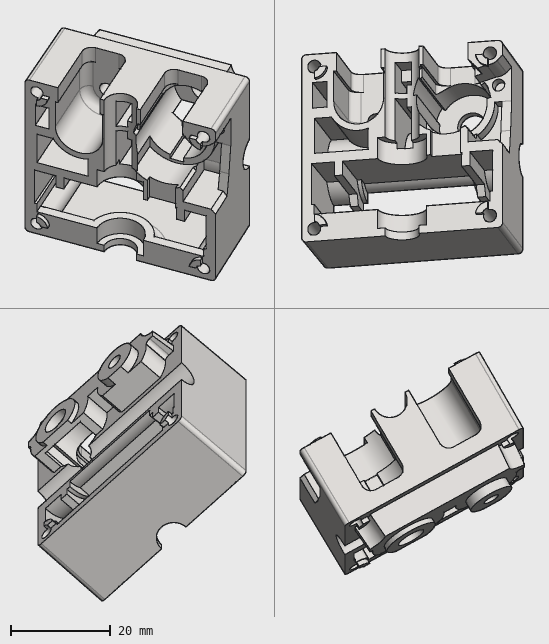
import cadquery as cq
import math

WIDTH = 41.55
HEIGHT = 39.55
DEPTH = 18.05
DRAFT = 0.5
CORNER_RADIUS = 1.0
OVERCUT = 0.4

SCREW_X = 18.15
SCREW_Z = 17.15
SCREW_RADIUS = 1.35
TAB_RADIUS = 2.8
TAB_HEIGHT = 1.0
TAB_GAP_X = 0.3
TAB_GAP_Z = 0.4

PORT_X = 8.98
PORT_Z = 9.48
THROAT_HALF_WIDTH = 4.6
THROAT_BOTTOM_Z = 15.88
CHAMBER_RADIUS = 5.15
CHAMBER_DEPTH = 14.65
CHAMBER_FILLET = 2.08
PORT_1_HOLE_RADIUS = 1.65

BORE_RADIUS = 6.65
LOBE_RADIUS = 7.5
LOBE_START = 8.0
LOBE_END = 35.0
KEY_HALF_WIDTH = 1.45
BORE_DEPTH = 22.45
PORT_2_HOLE_RADIUS = 2.9

RECESS_RADIUS = 8.23
RECESS_DEPTH = 8.02
RECESS_LEFT_X = 3.08
RECESS_CEILING_START = (14.05, 13.8)
CORNER_ARC_START = (17.45, 14.7)
CORNER_ARC_MIDDLE = (18.7, 14.95)
CORNER_ARC_END = (19.6, 15.5)
STEP_HALF_WIDTH = 3.08
STEP_DEPTH = 1.25
RELIEF_BEVEL = 0.5
CORNER_BEVEL_TOP_Z = 16.3
CORNER_BEVEL_END = (15.6, 14.25)
CORNER_RELIEF_DEPTH = 3.75
DOWEL_X = 18.0
DOWEL_Z = 13.0
DOWEL_RADIUS = 1.25
DOWEL_DEPTH = 2.5
RIB_RIGHT_X = 13.67
RIB_TOP_Z = 2.3
RIB_BEVEL = 0.65
NOTCH_BOTTOM_DEPTH = 6.03
NOTCH_BEND_DEPTH = 7.05
NOTCH_BEND_Z = 2.9
NOTCH_BEVEL = 1.0

PLATE_TOP_Z = 17.25
PLATE_HALF_WIDTH = 18.3
PLATE_DRAFT = 4.5
PLATE_BOTTOM_Z = 11.4
PLATE_BACK = 23.45
PLATE_SCOOP_RADIUS = 3.55
PLATE_FOOT_RADIUS = 1.0
TOWER_1_RADIUS = 7.02
TOWER_BOTTOM_Z = 5.1
PORT_1_RIM_RADIUS = 4.75
PORT_1_RIM_BACK = 25.5
PORT_2_RIM_RADIUS = 5.6
PORT_2_RIM_BACK = 24.5

BLOCK_BOTTOM_Z = -3.32
LIP_TOP_Z = -14.05
LIP_THICKNESS = 2.0
FLOOR_Z = -17.45
CAVITY_HALF_WIDTH = 18.15
WIDE_HALF_WIDTH = 18.7
WIDE_BACK_HALF_WIDTH = 18.45
WIDE_BOTTOM_Z = -11.95
COLUMN_RADIUS = 3.08
GROOVE_RADIUS = 3.5
TUBE_RADIUS = 4.4
TUBE_END_RADIUS = 6.52
TUBE_END_X = 11.43
STRUT_INNER_X = 12.3
STRUT_OUTER_X = 14.0
STRUT_FRONT_Z = -6.25
STRUT_BOTTOM_Z = -8.48
STRUT_STEP_START = 12.45
STRUT_STEP_END = 13.6

SHAFT_RADIUS = 3.5
BEARING_RADIUS = 5.03
UPPER_BEARING_TOP_Z = 1.12
LOWER_BEARING_BOTTOM_Z = -18.08
LOWER_BOSS_RADIUS = 6.85
BOSS_FILLET = 2.5

POCKET_LEFT_X = -18.1
POCKET_RIGHT_X = -7.02
POCKET_TOP_Z = 6.2
POCKET_BOTTOM_Z = -1.2
PORT_1_WALL_RADIUS = 6.52
POCKET_DEPTH = 17.05
SIDE_POCKET_FLOOR = 11.05
POCKET_CORE_RADIUS = 7.15
SIDE_POCKET_RIGHT_X = 18.7
SLOT_LEFT_X = -2.1
SLOT_RIGHT_X = 1.12
SLOT_NECK_X = 0.12
UPPER_SLOT_TOP_Z = 17.7
UPPER_SLOT_NECK_Z = 12.9
UPPER_SLOT_BOTTOM_Z = 11.22
UPPER_SLOT_LEDGE_Z = 15.25
UPPER_SLOT_LEDGE = 8.3
UPPER_SLOT_DEPTH = 12.45
LOWER_SLOT_TOP_Z = 10.05
LOWER_SLOT_NECK_Z = 8.23
LOWER_SLOT_BOTTOM_Z = 0.05
SMALL_POCKET_LEFT_X = -18.5
SMALL_POCKET_RIGHT_X = -15.55
SMALL_POCKET_TOP_Z = 13.8
SMALL_POCKET_BOTTOM_Z = 8.4


def block(x0, x1, y0, y1, z0, z1):
    """Box between opposite corners."""
    return cq.Workplane("XY").box(x1 - x0, y1 - y0, z1 - z0, centered=False).translate((x0, y0, z0))


def rod_y(x, z, radius, y0, y1):
    """Cylinder along Y."""
    return cq.Workplane("XZ", origin=(0, y0, 0)).center(x, z).circle(radius).extrude(y0 - y1)


def rod_x(radius, x0, x1):
    """Cylinder along X, centred on the rear cross groove."""
    return cq.Workplane("YZ", origin=(x0, 0, 0)).center(DEPTH, 0).circle(radius).extrude(x1 - x0)


def rod_z(radius, z0, z1):
    """Cylinder along Z, centred on the shaft channel."""
    return cq.Workplane("XY", origin=(0, 0, z0)).circle(radius).extrude(z1 - z0)


def outline_y(points, y0, y1):
    """Prism along Y over an (x, z) polygon."""
    return cq.Workplane("XZ", origin=(0, y0, 0)).polyline(points).close().extrude(y0 - y1)


def make_body():
    """Drafted block with rounded corner edges."""
    outline = cq.Workplane("XZ").rect(WIDTH, HEIGHT).extrude(-DEPTH, taper=DRAFT)
    return outline.edges("not(|X or |Z)").fillet(CORNER_RADIUS)


def drafted_plate():
    """Rear plate with drafted sides and concave corners around the upper screws."""
    scoop_x = PLATE_HALF_WIDTH - PLATE_SCOOP_RADIUS
    scoop_z = PLATE_TOP_Z - PLATE_SCOOP_RADIUS
    plate = (
        cq.Workplane("XZ", origin=(0, DEPTH, 0))
        .moveTo(-PLATE_HALF_WIDTH, 0)
        .lineTo(-PLATE_HALF_WIDTH, scoop_z)
        .radiusArc((-scoop_x, PLATE_TOP_Z), -PLATE_SCOOP_RADIUS)
        .lineTo(scoop_x, PLATE_TOP_Z)
        .radiusArc((PLATE_HALF_WIDTH, scoop_z), -PLATE_SCOOP_RADIUS)
        .lineTo(PLATE_HALF_WIDTH, 0)
        .close()
        .extrude(DEPTH - PLATE_BACK, taper=PLATE_DRAFT)
    )
    left_foot = -PORT_X - TOWER_1_RADIUS
    right_foot = PORT_X + RECESS_RADIUS
    foot_z = PLATE_BOTTOM_Z - PLATE_FOOT_RADIUS
    kept = (
        cq.Workplane("XZ", origin=(0, DEPTH, 0))
        .moveTo(-WIDTH / 2, HEIGHT / 2)
        .lineTo(-WIDTH / 2, PLATE_BOTTOM_Z)
        .lineTo(left_foot - PLATE_FOOT_RADIUS, PLATE_BOTTOM_Z)
        .radiusArc((left_foot, foot_z), PLATE_FOOT_RADIUS)
        .lineTo(right_foot, foot_z)
        .radiusArc((right_foot + PLATE_FOOT_RADIUS, PLATE_BOTTOM_Z), PLATE_FOOT_RADIUS)
        .lineTo(WIDTH / 2, PLATE_BOTTOM_Z)
        .lineTo(WIDTH / 2, HEIGHT / 2)
        .close()
        .extrude(DEPTH - PLATE_BACK)
    )
    return plate.intersect(kept)


def make_rear_plate():
    """Plate, towers trimmed flat below, and the raised port rims."""
    towers = rod_y(-PORT_X, PORT_Z, TOWER_1_RADIUS, DEPTH, PLATE_BACK)
    towers = towers.union(rod_y(PORT_X, PORT_Z, RECESS_RADIUS, DEPTH, PLATE_BACK))
    below_plate = block(-WIDTH / 2, WIDTH / 2, DEPTH, PLATE_BACK, TOWER_BOTTOM_Z, PLATE_BOTTOM_Z)
    plate = drafted_plate().union(towers.intersect(below_plate))
    plate = plate.union(rod_y(-PORT_X, PORT_Z, PORT_1_RIM_RADIUS, DEPTH, PORT_1_RIM_BACK))
    plate = plate.union(rod_y(PORT_X, PORT_Z, PORT_2_RIM_RADIUS, DEPTH, PORT_2_RIM_BACK))
    trim = block(-WIDTH / 2, WIDTH / 2, DEPTH, PORT_1_RIM_BACK, TOWER_BOTTOM_Z, PLATE_TOP_Z)
    return plate.intersect(trim)


def cut_lower_cavity(body):
    """Open the body below the port block, leaving the lip, bearing boss and screw columns."""
    back = DEPTH + OVERCUT
    cavity = block(-CAVITY_HALF_WIDTH, CAVITY_HALF_WIDTH, LIP_THICKNESS, back, FLOOR_Z, BLOCK_BOTTOM_Z)
    for side in (-1, 1):
        cavity = cavity.cut(rod_y(side * SCREW_X, -SCREW_Z, COLUMN_RADIUS, 0, back))
    boss = rod_z(LOWER_BOSS_RADIUS, FLOOR_Z, LIP_TOP_Z)
    foot = (
        cq.Workplane("XZ")
        .moveTo(0, FLOOR_Z)
        .lineTo(LOWER_BOSS_RADIUS + BOSS_FILLET, FLOOR_Z)
        .radiusArc((LOWER_BOSS_RADIUS, FLOOR_Z + BOSS_FILLET), BOSS_FILLET)
        .lineTo(0, FLOOR_Z + BOSS_FILLET)
        .close()
        .revolve(360, (0, 0, 0), (0, 1, 0))
    )
    cavity = cavity.cut(boss).cut(foot)
    window = block(-CAVITY_HALF_WIDTH, CAVITY_HALF_WIDTH, -OVERCUT, back, LIP_TOP_Z, BLOCK_BOTTOM_Z)
    wide = (
        cq.Workplane("XY", origin=(0, 0, WIDE_BOTTOM_Z))
        .polyline([
            (-WIDE_HALF_WIDTH, 0),
            (WIDE_HALF_WIDTH, 0),
            (WIDE_BACK_HALF_WIDTH, DEPTH),
            (-WIDE_BACK_HALF_WIDTH, DEPTH),
        ])
        .close()
        .extrude(BLOCK_BOTTOM_Z - WIDE_BOTTOM_Z)
    )
    return body.cut(cavity).cut(window).cut(wide)


def cross_tube():
    """Tube around the rear cross groove, thicker at both ends."""
    tube = rod_x(TUBE_RADIUS, -WIDE_HALF_WIDTH, WIDE_HALF_WIDTH)
    tube = tube.union(rod_x(TUBE_END_RADIUS, -WIDE_HALF_WIDTH, -TUBE_END_X))
    tube = tube.union(rod_x(TUBE_END_RADIUS, TUBE_END_X, WIDE_HALF_WIDTH))
    return tube.intersect(block(-WIDTH, WIDTH, 0, DEPTH, -HEIGHT / 2, HEIGHT / 2))


def strut(side):
    """Rib hanging from the block, deeper towards the back beyond a sloped step."""
    profile = [
        (0, BLOCK_BOTTOM_Z),
        (0, STRUT_FRONT_Z),
        (STRUT_STEP_START, STRUT_FRONT_Z),
        (STRUT_STEP_END, STRUT_BOTTOM_Z),
        (DEPTH, STRUT_BOTTOM_Z),
        (DEPTH, BLOCK_BOTTOM_Z),
    ]
    width = STRUT_OUTER_X - STRUT_INNER_X
    start = STRUT_INNER_X if side > 0 else -STRUT_OUTER_X
    return cq.Workplane("YZ", origin=(start, 0, 0)).polyline(profile).close().extrude(width)


def cut_shaft_channel(body):
    """Half-round channel with wider bearing seats above and below the cavity."""
    top = HEIGHT / 2 + OVERCUT
    body = body.cut(rod_z(SHAFT_RADIUS, -top, top))
    return body.cut(rod_z(BEARING_RADIUS, LOWER_BEARING_BOTTOM_Z, UPPER_BEARING_TOP_Z))


def port_chamber(x):
    """Round-bottomed chamber with a rounded back edge and a narrower throat through the top."""
    chamber = (
        cq.Workplane("XZ", origin=(x, -OVERCUT, 0))
        .moveTo(-CHAMBER_RADIUS, THROAT_BOTTOM_Z)
        .lineTo(-CHAMBER_RADIUS, PORT_Z)
        .threePointArc((0, PORT_Z - CHAMBER_RADIUS), (CHAMBER_RADIUS, PORT_Z))
        .lineTo(CHAMBER_RADIUS, THROAT_BOTTOM_Z)
        .close()
        .extrude(-(CHAMBER_DEPTH + OVERCUT))
    )
    curved_back = chamber.faces(">Y").edges("not(>Z)")
    chamber = curved_back.fillet(CHAMBER_FILLET)
    throat = block(
        x - THROAT_HALF_WIDTH, x + THROAT_HALF_WIDTH,
        -OVERCUT, CHAMBER_DEPTH, PORT_Z, HEIGHT / 2 + OVERCUT,
    )
    throat = throat.edges("|Z and >Y").fillet(CHAMBER_FILLET)
    return chamber.union(throat)


def bayonet_bore():
    """Bore of port 2 with two side lobes and a key slot at the bottom."""
    bore = rod_y(PORT_X, PORT_Z, BORE_RADIUS, -OVERCUT, BORE_DEPTH)
    lobe_disc = rod_y(PORT_X, PORT_Z, LOBE_RADIUS, -OVERCUT, BORE_DEPTH)
    reach = 2 * LOBE_RADIUS
    low = math.radians(LOBE_START)
    high = math.radians(LOBE_END)
    for side in (-1, 1):
        wedge = [
            (PORT_X, PORT_Z),
            (PORT_X + side * reach * math.cos(low), PORT_Z + reach * math.sin(low)),
            (PORT_X + side * reach * math.cos(high), PORT_Z + reach * math.sin(high)),
        ]
        bore = bore.union(lobe_disc.intersect(outline_y(wedge, -OVERCUT, BORE_DEPTH)))
    key = block(
        PORT_X - KEY_HALF_WIDTH, PORT_X + KEY_HALF_WIDTH,
        -OVERCUT, BORE_DEPTH, PORT_Z - LOBE_RADIUS, PORT_Z,
    )
    return bore.union(key)


def port_2_recess():
    """Stepped opening around port 2 that runs out through the right wall."""
    right = WIDTH / 2 + OVERCUT
    disc = rod_y(PORT_X, PORT_Z, RECESS_RADIUS, -OVERCUT, RECESS_DEPTH)
    disc = disc.intersect(block(RECESS_LEFT_X, right, -OVERCUT, RECESS_DEPTH, -HEIGHT, PORT_Z))
    side = (
        cq.Workplane("XZ", origin=(0, -OVERCUT, 0))
        .moveTo(PORT_X, PORT_Z)
        .lineTo(*RECESS_CEILING_START)
        .lineTo(*CORNER_ARC_START)
        .threePointArc(CORNER_ARC_MIDDLE, CORNER_ARC_END)
        .lineTo(right, CORNER_ARC_END[1] + right - CORNER_ARC_END[0])
        .lineTo(right, PORT_Z)
        .close()
        .extrude(-(RECESS_DEPTH + OVERCUT))
    )
    return disc.union(side)


def side_notch():
    """Opening in the right wall below the recess, with a sloped back and a bevelled sill."""
    right = WIDTH / 2 + OVERCUT
    sill = POCKET_BOTTOM_Z - NOTCH_BEVEL
    profile = [
        (-OVERCUT, sill),
        (NOTCH_BOTTOM_DEPTH, sill),
        (NOTCH_BEND_DEPTH, NOTCH_BEND_Z),
        (RECESS_DEPTH, PORT_Z),
        (-OVERCUT, PORT_Z),
    ]
    left = RIB_RIGHT_X - RIB_BEVEL
    width = right - left
    notch = cq.Workplane("YZ", origin=(left, 0, 0)).polyline(profile).close().extrude(width)
    bevel_x = WIDTH / 2 - NOTCH_BEVEL
    outline = [
        (left, PORT_Z),
        (left, RIB_TOP_Z),
        (RIB_RIGHT_X, RIB_TOP_Z - RIB_BEVEL),
        (RIB_RIGHT_X, POCKET_BOTTOM_Z),
        (bevel_x, POCKET_BOTTOM_Z),
        (WIDTH / 2, sill),
        (right, sill),
        (right, PORT_Z),
    ]
    return notch.intersect(outline_y(outline, -OVERCUT, RECESS_DEPTH))


def side_pocket(core):
    """Deep pocket between the port 2 wall and the right wall."""
    pocket = block(RIB_RIGHT_X, SIDE_POCKET_RIGHT_X, 0, SIDE_POCKET_FLOOR, POCKET_BOTTOM_Z, PORT_Z)
    return pocket.cut(rod_y(PORT_X, PORT_Z, RECESS_RADIUS, 0, DEPTH)).cut(core)


def wall_relief():
    """Step back of the thin wall between the shaft channel and port 2."""
    left = PORT_X - RECESS_RADIUS
    right = PORT_X - THROAT_HALF_WIDTH
    outline = [
        (left, PORT_Z),
        (left, THROAT_BOTTOM_Z - STEP_DEPTH),
        (SHAFT_RADIUS, THROAT_BOTTOM_Z - RELIEF_BEVEL),
        (right, THROAT_BOTTOM_Z),
        (right, PORT_Z),
    ]
    return outline_y(outline, -OVERCUT, STEP_DEPTH)


def corner_relief():
    """Bevelled step under the upper right corner, beside the throat of port 2."""
    left = PORT_X + THROAT_HALF_WIDTH
    outline = [(left, PORT_Z), (left, CORNER_BEVEL_TOP_Z), CORNER_BEVEL_END, (CORNER_BEVEL_END[0], PORT_Z)]
    return outline_y(outline, -OVERCUT, CORNER_RELIEF_DEPTH)


def front_step():
    """Shallow step in the front face under port 2."""
    return block(
        PORT_X - STEP_HALF_WIDTH, PORT_X + STEP_HALF_WIDTH, -OVERCUT, STEP_DEPTH, BLOCK_BOTTOM_Z, PORT_Z
    )


def tube_pocket(core):
    """Pocket under port 1, bounded by the port wall and by the round core at its back."""
    pocket = block(POCKET_LEFT_X, POCKET_RIGHT_X, -OVERCUT, POCKET_DEPTH, POCKET_BOTTOM_Z, POCKET_TOP_Z)
    return pocket.cut(rod_y(-PORT_X, PORT_Z, PORT_1_WALL_RADIUS, -OVERCUT, DEPTH)).cut(core)


def shaft_slots(core):
    """Two keyhole slots in the bottom of the shaft channel, narrowed towards each other."""
    upper = block(SLOT_LEFT_X, SLOT_RIGHT_X, 0, UPPER_SLOT_LEDGE, UPPER_SLOT_NECK_Z, UPPER_SLOT_TOP_Z)
    upper = upper.union(
        block(SLOT_LEFT_X, SLOT_RIGHT_X, 0, UPPER_SLOT_DEPTH, UPPER_SLOT_NECK_Z, UPPER_SLOT_LEDGE_Z)
    )
    upper = upper.union(
        block(SLOT_LEFT_X, SLOT_NECK_X, 0, UPPER_SLOT_DEPTH, UPPER_SLOT_BOTTOM_Z, UPPER_SLOT_NECK_Z)
    )
    lower = block(SLOT_LEFT_X, SLOT_RIGHT_X, 0, POCKET_DEPTH, LOWER_SLOT_BOTTOM_Z, LOWER_SLOT_NECK_Z)
    lower = lower.union(
        block(SLOT_LEFT_X, SLOT_NECK_X, 0, POCKET_DEPTH, LOWER_SLOT_NECK_Z, LOWER_SLOT_TOP_Z)
    )
    return upper.union(lower.cut(core))


def locating_tab(side_x, side_z, y0):
    """Quarter-round tab on the inner side of a screw hole."""
    x = side_x * SCREW_X
    z = side_z * SCREW_Z
    near_x = x - side_x * TAB_GAP_X
    near_z = z - side_z * TAB_GAP_Z
    far_x = x - side_x * 2 * TAB_RADIUS
    far_z = z - side_z * 2 * TAB_RADIUS
    quarter = [(near_x, near_z), (far_x, near_z), (far_x, far_z), (near_x, far_z)]
    y1 = y0 + TAB_HEIGHT
    return rod_y(x, z, TAB_RADIUS, y0, y1).intersect(outline_y(quarter, y0, y1))


part = make_body()
part = cut_lower_cavity(part)
part = part.union(make_rear_plate())

part = part.union(cross_tube())
for direction in (-1, 1):
    part = part.union(strut(direction))

pocket_core = rod_x(POCKET_CORE_RADIUS, -WIDTH / 2, WIDTH / 2)

part = cut_shaft_channel(part)
part = part.cut(port_chamber(-PORT_X)).cut(port_chamber(PORT_X))
part = part.cut(rod_y(-PORT_X, PORT_Z, PORT_1_HOLE_RADIUS, 0, PORT_1_RIM_BACK))
part = part.cut(bayonet_bore())
part = part.cut(rod_y(PORT_X, PORT_Z, PORT_2_HOLE_RADIUS, 0, PORT_2_RIM_BACK))

part = part.cut(port_2_recess()).cut(front_step()).cut(wall_relief()).cut(corner_relief())
part = part.cut(side_notch()).cut(side_pocket(pocket_core))
part = part.cut(rod_y(DOWEL_X, DOWEL_Z, DOWEL_RADIUS, RECESS_DEPTH, RECESS_DEPTH + DOWEL_DEPTH))

part = part.cut(tube_pocket(pocket_core))
part = part.cut(
    block(SMALL_POCKET_LEFT_X, SMALL_POCKET_RIGHT_X, -OVERCUT, CHAMBER_DEPTH,
          SMALL_POCKET_BOTTOM_Z, SMALL_POCKET_TOP_Z)
)
part = part.cut(shaft_slots(pocket_core))

part = part.cut(rod_x(GROOVE_RADIUS, -WIDTH, WIDTH))

for right_left in (-1, 1):
    for up_down in (-1, 1):
        part = part.union(locating_tab(right_left, up_down, -TAB_HEIGHT))
        part = part.union(locating_tab(right_left, up_down, DEPTH))
for right_left in (-1, 1):
    for up_down in (-1, 1):
        hole = rod_y(right_left * SCREW_X, up_down * SCREW_Z, SCREW_RADIUS, -TAB_HEIGHT, DEPTH + TAB_HEIGHT)
        part = part.cut(hole)

result = part